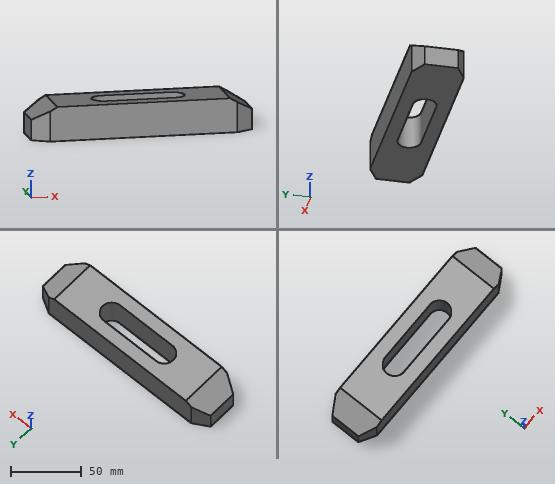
import cadquery as cq
import math

length = 160.0
width = 38.0
height = 25.0

taper_angle = math.radians(30.0)
end_width = 24.0
end_height = 15.0

slot_width = 17.0
slot_center_distance = 50.0


def taper_length(drop):
    """Distance along X over which a tapered face moves inward by drop."""
    return drop / math.tan(taper_angle)


def plan_body():
    """Bar with its four vertical corners cut off by the side tapers."""
    half_length = length / 2
    half_width = width / 2
    half_end = end_width / 2
    shoulder = half_length - taper_length(half_width - half_end)
    outline = [
        (-half_length, -half_end),
        (-shoulder, -half_width),
        (shoulder, -half_width),
        (half_length, -half_end),
        (half_length, half_end),
        (shoulder, half_width),
        (-shoulder, half_width),
        (-half_length, half_end),
    ]
    return cq.Workplane("XY").polyline(outline).close().extrude(height)


def side_profile():
    """Full-width prism whose top slopes down to the end height at both ends."""
    half_length = length / 2
    top_edge = half_length - taper_length(height - end_height)
    outline = [
        (-half_length, 0),
        (half_length, 0),
        (half_length, end_height),
        (top_edge, height),
        (-top_edge, height),
        (-half_length, end_height),
    ]
    return cq.Workplane("XZ").polyline(outline).close().extrude(width / 2, both=True)


def slot():
    """Round-ended slot through the full height."""
    slot_length = slot_center_distance + slot_width
    return cq.Workplane("XY").slot2D(slot_length, slot_width).extrude(height)


result = plan_body().intersect(side_profile()).cut(slot())